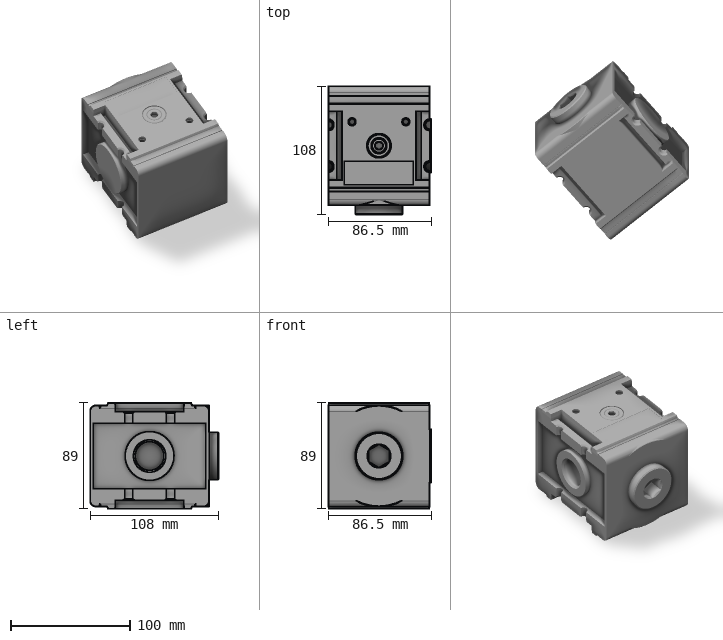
import cadquery as cq
import math

BODY_X = 85.0
BODY_Y = 100.0
BODY_Z = 85.0
EDGE_RADIUS = 5.0
HALF_X = BODY_X / 2
HALF_Y = BODY_Y / 2
HALF_Z = BODY_Z / 2

SHOULDER_CHAMFER = 0.4
SHOULDER_LENGTH = 2 * EDGE_RADIUS

TOTAL_Z = 89.0
PAD_BASE_HALF_Y = 35.9
PAD_TOP_HALF_Y = 34.8
COVER_BACK_Y = 41.9
COVER_FRONT_Y = -38.6
COVER_DEPTH = 2.3
COVER_DRAFT = 5
JOINT_WIDTH = 0.5
JOINT_DEPTH = 1.4

NOTCH_HALF_Y = 28.7
NOTCH_LENGTH = 11.2
LEDGE_Z = 37.3
LEDGE_LENGTH = 7.0
CLAMP_SLOT_DEPTH = 5.0

BOLT_Y = 17.5
BOLT_DIAMETER = 7.0
BOLT_SINK_DIAMETER = 9.5

RECESS_Y = 94.2
RECESS_Z = 55.1
RECESS_DEPTH = 5.3
LEFT_BOSS_DIAMETER = 41.0
RIGHT_BOSS_DIAMETER = 45.0
RIGHT_BOSS_RISE = 1.5
RIGHT_BOSS_CHAMFER = 0.4
PORT_DIAMETER = 24.1
PORT_MOUTH_DIAMETER = 27.2
PORT_DEPTH = 16.0

PLUG_DIAMETER = 40.0
PLUG_LENGTH = 8.0
PLUG_CHAMFER = 0.9
PLUG_SOCKET_WIDTH = 17.1
PLUG_SOCKET_DEPTH = 14.0

SCREW_BORE_DIAMETER = 20.5
SCREW_DIAMETER = 19.7
SCREW_BEVEL = 0.5
SCREW_GAP_DEPTH = 1.0
SCREW_RING_DIAMETER = 12.3
SCREW_RING_WIDTH = 1.0
SCREW_SOCKET_WIDTH = 6.0
SCREW_SOCKET_DEPTH = 4.0
PIN_HOLE_X = 22.6
PIN_HOLE_Y = 20.1
PIN_HOLE_DIAMETER = 5.0
PIN_HOLE_DEPTH = 6.0
PIN_HOLE_BORE_DIAMETER = 6.5
PIN_HOLE_BORE_DEPTH = 2.9
LABEL_X = 58.0
LABEL_Y = 20.1
LABEL_CENTER_Y = -22.9
LABEL_DEPTH = 0.2

TOP_Z = TOTAL_Z / 2
COVER_BASE_Z = HALF_Z - COVER_DEPTH
FRONT = cq.Vector(0, -1, 0)
UP = cq.Vector(0, 0, 1)
LEFT = cq.Vector(-1, 0, 0)
RIGHT = cq.Vector(1, 0, 0)


def box(x_range, y_range, z_range):
    """Box between two limits along each axis."""
    corner = (x_range[0], y_range[0], z_range[0])
    size = [limits[1] - limits[0] for limits in (x_range, y_range, z_range)]
    return cq.Workplane("XY").box(*size, centered=False).translate(corner)


def rod(diameter, length, start, direction):
    """Cylinder that runs from a start point along a direction."""
    return cq.Workplane(cq.Solid.makeCylinder(diameter / 2, length, cq.Vector(*start), direction))


def sink(mouth_diameter, end_diameter, mouth, outward):
    """45 degree cone that narrows from its mouth into the material."""
    depth = (mouth_diameter - end_diameter) / 2
    cone = cq.Solid.makeCone(mouth_diameter / 2, end_diameter / 2, depth, cq.Vector(*mouth), outward * -1)
    return cq.Workplane(cone)


def hex_socket(width, depth, plane):
    """Hexagon pocket with a conical lead-in as wide as the hexagon corners."""
    corner_diameter = width / math.cos(math.radians(30))
    hexagon = (
        cq.Workplane(plane)
        .transformed(rotate=(0, 0, 30))
        .polygon(6, corner_diameter)
        .extrude(-depth)
    )
    return hexagon.union(sink(corner_diameter, width, plane.origin.toTuple(), plane.zDir))


def on_both_covers(top_shape):
    """Shape made for the top cover together with its copy on the bottom."""
    return top_shape.union(top_shape.mirror("XY"))


def block():
    body = cq.Workplane("XY").box(BODY_X, BODY_Y, BODY_Z).edges("|X").fillet(EDGE_RADIUS)
    start = (0, SHOULDER_LENGTH - HALF_Y, 0)
    shoulder = rod(BODY_Z, SHOULDER_LENGTH, start, FRONT).faces("<Y").chamfer(SHOULDER_CHAMFER)
    return body.union(shoulder)


def pad():
    outline = [
        (-PAD_BASE_HALF_Y, COVER_BASE_Z),
        (PAD_BASE_HALF_Y, COVER_BASE_Z),
        (PAD_BASE_HALF_Y, HALF_Z),
        (PAD_TOP_HALF_Y, TOP_Z),
        (-PAD_TOP_HALF_Y, TOP_Z),
        (-PAD_BASE_HALF_Y, HALF_Z),
    ]
    return cq.Workplane("YZ").polyline(outline).close().extrude(HALF_X, both=True)


def end_wedge(side):
    """Sliver that gives one end of the cover its draft; side is -1 or 1."""
    setback = (TOP_Z - COVER_BASE_Z) * math.tan(math.radians(COVER_DRAFT))
    outline = [
        (side * HALF_X, COVER_BASE_Z),
        (side * HALF_X, TOP_Z),
        (side * (HALF_X - setback), TOP_Z),
    ]
    plane = cq.Workplane("XZ", origin=(0, COVER_BACK_Y, 0))
    return plane.polyline(outline).close().extrude(COVER_BACK_Y - COVER_FRONT_Y)


def cover_cuts():
    """Joint grooves beside the cover and the draft of its two ends."""
    whole_x = (-HALF_X, HALF_X)
    joint_z = (HALF_Z - JOINT_DEPTH, TOP_Z)
    back_joint = box(whole_x, (COVER_BACK_Y - JOINT_WIDTH, COVER_BACK_Y), joint_z)
    front_joint = box(whole_x, (COVER_FRONT_Y, COVER_FRONT_Y + JOINT_WIDTH), joint_z)
    return back_joint.union(front_joint).union(end_wedge(-1)).union(end_wedge(1))


def notch(side):
    """Notch in the top cover with its ledge, clamping slot and bolt holes; side is -1 or 1."""

    def end_box(inner, outer, half_y, z_range):
        x_range = sorted((side * (HALF_X - inner), side * (HALF_X - outer)))
        return box(x_range, (-half_y, half_y), z_range)

    opening = end_box(NOTCH_LENGTH, 0, NOTCH_HALF_Y, (LEDGE_Z, TOP_Z))
    cover_opening = (
        cq.Workplane("XY", origin=(side * HALF_X, 0, COVER_BASE_Z))
        .rect(2 * NOTCH_LENGTH, 2 * NOTCH_HALF_Y)
        .extrude(TOP_Z - COVER_BASE_Z, taper=-COVER_DRAFT)
    )
    slot = end_box(NOTCH_LENGTH, LEDGE_LENGTH, NOTCH_HALF_Y, (LEDGE_Z - CLAMP_SLOT_DEPTH, LEDGE_Z))
    cut = opening.union(cover_opening).union(slot)
    for y in (-BOLT_Y, BOLT_Y):
        mouth = (side * HALF_X, y, LEDGE_Z)
        cut = cut.union(rod(BOLT_DIAMETER, LEDGE_Z - RECESS_Z / 2, mouth, UP * -1))
        cut = cut.union(sink(BOLT_SINK_DIAMETER, BOLT_DIAMETER, mouth, UP))
    return cut


def end_recesses():
    half_y = RECESS_Y / 2
    half_z = RECESS_Z / 2
    left = box((-HALF_X, RECESS_DEPTH - HALF_X), (-half_y, half_y), (-half_z, half_z))
    return left.union(left.mirror("YZ"))


def port_bosses():
    floor_x = HALF_X - RECESS_DEPTH
    left = rod(LEFT_BOSS_DIAMETER, RECESS_DEPTH, (-floor_x, 0, 0), LEFT)
    right = rod(RIGHT_BOSS_DIAMETER, RECESS_DEPTH + RIGHT_BOSS_RISE, (floor_x, 0, 0), RIGHT)
    return left.union(right.faces(">X").chamfer(RIGHT_BOSS_CHAMFER))


def port():
    mouth = (-HALF_X, 0, 0)
    bore = rod(PORT_DIAMETER, PORT_DEPTH, mouth, RIGHT)
    return bore.union(sink(PORT_MOUTH_DIAMETER, PORT_DIAMETER, mouth, LEFT))


def plug_head():
    return rod(PLUG_DIAMETER, PLUG_LENGTH, (0, -HALF_Y, 0), FRONT).faces("<Y").chamfer(PLUG_CHAMFER)


def plug_socket():
    """Hexagon socket that runs through the plug head into the block."""
    face = cq.Plane(origin=(0, -HALF_Y - PLUG_LENGTH, 0), xDir=(1, 0, 0), normal=FRONT.toTuple())
    return hex_socket(PLUG_SOCKET_WIDTH, PLUG_SOCKET_DEPTH, face)


def v_groove(inner_diameter, bottom_diameter, outer_diameter, depth):
    """Ring groove in the top face with a sharp bottom."""
    profile = [
        (inner_diameter / 2, TOP_Z),
        (bottom_diameter / 2, TOP_Z - depth),
        (outer_diameter / 2, TOP_Z),
    ]
    return cq.Workplane("XZ").polyline(profile).close().revolve(360, (0, 0, 0), (0, 1, 0))


def screw_cuts():
    """Gap around the bevelled head, ring groove and hexagon socket of the flush screw."""
    gap_start = (0, 0, TOP_Z - SCREW_GAP_DEPTH)
    gap = rod(SCREW_BORE_DIAMETER, SCREW_GAP_DEPTH, gap_start, UP)
    head = rod(SCREW_DIAMETER, SCREW_GAP_DEPTH, gap_start, UP).faces(">Z").chamfer(SCREW_BEVEL)
    ring = v_groove(
        SCREW_RING_DIAMETER - SCREW_RING_WIDTH,
        SCREW_RING_DIAMETER,
        SCREW_RING_DIAMETER + SCREW_RING_WIDTH,
        SCREW_RING_WIDTH / 2,
    )
    face = cq.Plane(origin=(0, 0, TOP_Z), xDir=(1, 0, 0), normal=UP.toTuple())
    return gap.cut(head).union(ring).union(hex_socket(SCREW_SOCKET_WIDTH, SCREW_SOCKET_DEPTH, face))


def pin_hole(x):
    mouth = (x, PIN_HOLE_Y, TOP_Z)
    hole = rod(PIN_HOLE_DIAMETER, PIN_HOLE_DEPTH, mouth, UP * -1)
    return hole.union(rod(PIN_HOLE_BORE_DIAMETER, PIN_HOLE_BORE_DEPTH, mouth, UP * -1))


def label():
    return cq.Workplane("XY", origin=(0, LABEL_CENTER_Y, TOP_Z)).rect(LABEL_X, LABEL_Y).extrude(-LABEL_DEPTH)


result = block().union(on_both_covers(pad()))
result = result.cut(on_both_covers(cover_cuts()))
for end in (-1, 1):
    result = result.cut(on_both_covers(notch(end)))
result = result.cut(end_recesses()).union(port_bosses()).cut(port())
result = result.union(plug_head()).cut(plug_socket())
result = result.cut(screw_cuts()).cut(label())
for hole_x in (-PIN_HOLE_X, PIN_HOLE_X):
    result = result.cut(pin_hole(hole_x))